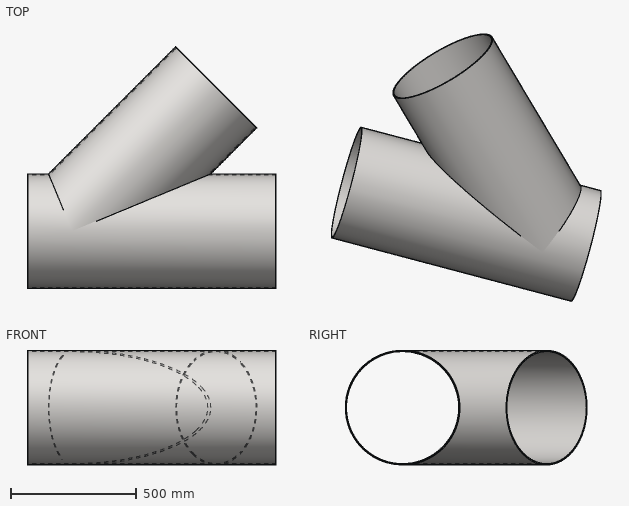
import cadquery as cq

outer_diameter = 458.0
bore_diameter = 448.0
run_length = 991.0
branch_start = 178.0
branch_length = 812.0
branch_angle = 45.0

run_plane = cq.Plane.YZ()
branch_frame = cq.Plane.XY(origin=(branch_start, 0, 0)).rotated((0, 0, branch_angle))
branch_plane = cq.Plane(
    origin=branch_frame.origin, xDir=branch_frame.yDir, normal=branch_frame.xDir
)


def wye(diameter):
    """Run and branch cylinders of one diameter, joined together."""
    radius = diameter / 2
    run = cq.Workplane(run_plane).circle(radius).extrude(run_length)
    branch = cq.Workplane(branch_plane).circle(radius).extrude(branch_length)
    return run.union(branch)


result = wye(outer_diameter).cut(wye(bore_diameter))